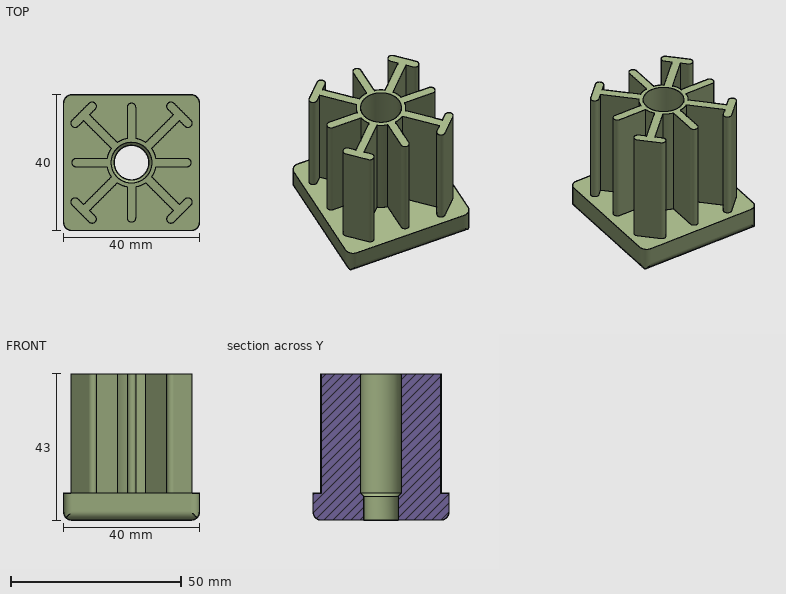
import cadquery as cq

height = 43.0
base_side = 40.0
base_height = 8.0
edge_radius = 2.5

rib_width = 2.5
rib_reach = 17.5
hub_diameter = 14.5
bore_top_diameter = 12.0
bore_bottom_diameter = 10.1

crossbar_distance = 19.9
crossbar_length = 9.55

rib_height = height - base_height


def make_base():
    """Square foot whose side and lower edge roundings meet in mitred corners."""
    plan = (
        cq.Workplane("XY")
        .rect(base_side, base_side)
        .extrude(base_height)
        .edges("|Z")
        .fillet(edge_radius)
    )
    cushion_x = (
        cq.Workplane("XY")
        .rect(base_side, base_side)
        .extrude(base_height)
        .edges("<Z and |X")
        .fillet(edge_radius)
    )
    cushion_y = cushion_x.rotate((0, 0, 0), (0, 0, 1), 90)
    return plan.intersect(cushion_x).intersect(cushion_y)


def make_straight_rib(angle):
    """Radial rib with a full-round tip."""
    tip_centre = rib_reach - rib_width / 2
    web = cq.Workplane("XY").box(tip_centre, rib_width, rib_height, centered=(False, True, False))
    tip = cq.Workplane("XY").center(tip_centre, 0).circle(rib_width / 2).extrude(rib_height)
    return place_rib(web.union(tip), angle)


def make_tee_rib(angle):
    """Radial rib ending in a round-ended crossbar."""
    web = cq.Workplane("XY").box(crossbar_distance, rib_width, rib_height, centered=(False, True, False))
    crossbar = (
        cq.Workplane("XY")
        .center(crossbar_distance, 0)
        .slot2D(crossbar_length, rib_width, 90)
        .extrude(rib_height)
    )
    return place_rib(web.union(crossbar), angle)


def place_rib(rib, angle):
    """Stand a rib on the base and turn it about the hub axis."""
    return rib.translate((0, 0, base_height)).rotate((0, 0, 0), (0, 0, 1), angle)


def make_bore():
    """Wide bore through the hub, narrowing by a 45 degree cone to a smaller hole in the base."""
    small_radius = bore_bottom_diameter / 2
    large_radius = bore_top_diameter / 2
    cone_height = large_radius - small_radius
    hole = cq.Workplane("XY").circle(small_radius).extrude(base_height)
    cone = cq.Workplane(cq.Solid.makeCone(small_radius, large_radius, cone_height))
    hub_bore = cq.Workplane("XY").workplane(offset=base_height).circle(large_radius).extrude(rib_height)
    return hole.union(cone.translate((0, 0, base_height - cone_height))).union(hub_bore)


hub = cq.Workplane("XY").workplane(offset=base_height).circle(hub_diameter / 2).extrude(rib_height)

result = make_base().union(hub)
for quarter_turn in range(0, 360, 90):
    result = result.union(make_straight_rib(quarter_turn))
    result = result.union(make_tee_rib(quarter_turn + 45))
result = result.cut(make_bore())